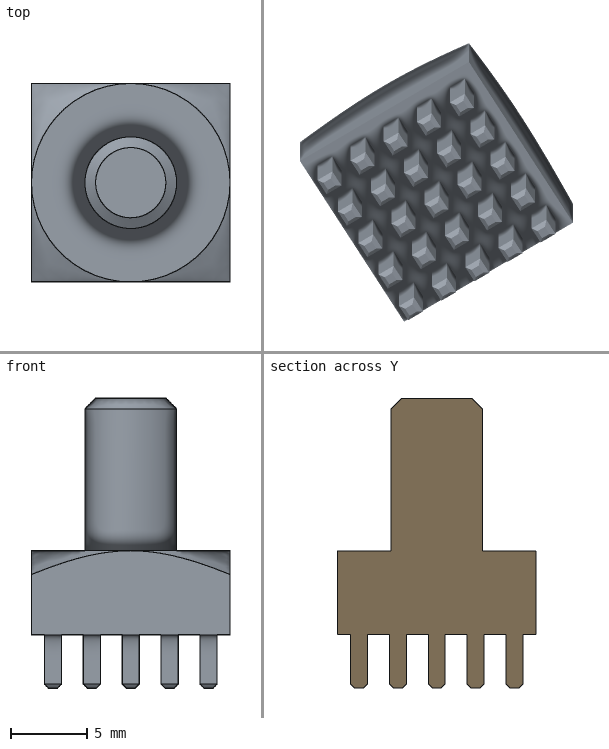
import cadquery as cq
import math

body_width = 13.0
body_height = 5.51
pin_length = 3.5
total_height = 19
shaft_length = total_height - body_height - pin_length

corner_slope = 30

shaft_diameter = 6.0
shaft_chamfer = 0.7

pins_per_side = 5
pin_pitch = 2.55
pin_width = 1.14
pin_chamfer = 0.28


def make_body():
    """Square block whose corners are trimmed by a cone touching the top edges."""
    block = cq.Workplane("XY").rect(body_width, body_width).extrude(body_height)
    top_radius = body_width / 2
    bottom_radius = top_radius + body_height / math.tan(math.radians(corner_slope))
    cone = cq.Workplane("XY").add(
        cq.Solid.makeCone(bottom_radius, top_radius, body_height)
    )
    return block.intersect(cone)


def make_shaft():
    """Round shaft on top of the body with a chamfered end."""
    return (
        cq.Workplane("XY", origin=(0, 0, body_height))
        .circle(shaft_diameter / 2)
        .extrude(shaft_length)
        .faces(">Z")
        .chamfer(shaft_chamfer)
    )


def make_pins():
    """Square grid of square pins with bevelled tips."""
    return (
        cq.Workplane("XY")
        .rarray(pin_pitch, pin_pitch, pins_per_side, pins_per_side)
        .rect(pin_width, pin_width)
        .extrude(-pin_length)
        .faces("<Z")
        .chamfer(pin_chamfer)
    )


result = make_body().union(make_shaft()).union(make_pins())